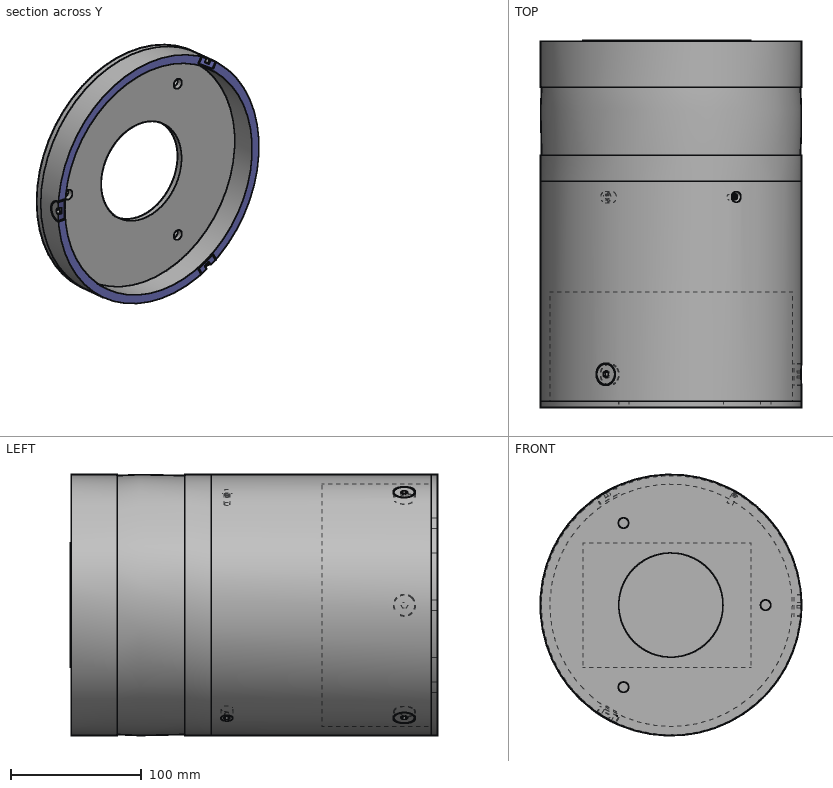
import cadquery as cq
import math

length = 281.0
outer_radius = 100.0

plate_end = 5.0
tube_end = 173.0
ring_end = 193.3
band_end = 245.3

band_end_drop = 0.8

opening_radius = 40.0
cavity_radius = 92.7
cavity_end = 88.5

plate_hole_diameter = 8.0
plate_hole_circle_radius = 72.5
third_turn_angles = [0, 120, 240]

cover_screw_station = 25.5
cover_screw_diameter = 15.7
cover_screw_gap = 0.5
cover_screw_length = 5.5
cover_screw_socket_width = 4.5
cover_screw_socket_depth = 3.5
cover_hole_diameter = cover_screw_diameter + 2 * cover_screw_gap

rear_screw_station = 161.3
rear_screw_length = 8.5

sunk_screw_angle = 60
sunk_screw_diameter = 4.5
sunk_screw_socket_width = 2.2
sunk_screw_socket_depth = 2.2
countersink_diameter = 8.1
countersink_depth = 2.0

flush_screw_angle = sunk_screw_angle + 180
flush_screw_diameter = 9.0
flush_screw_socket_width = 4.0
flush_screw_socket_depth = 4.0

pad_left = -67.5
pad_right = 61.3
pad_height = 95.5
pad_thickness = 0.5


def rim_radius(diameter):
    """Distance from the axis of the lowest points on the rim of a radial hole in the tube."""
    return math.sqrt(outer_radius**2 - (diameter / 2) ** 2)


cover_screw_face_radius = rim_radius(cover_hole_diameter)
flush_screw_face_radius = rim_radius(flush_screw_diameter)
countersink_rim_radius = rim_radius(countersink_diameter)
sunk_screw_face_radius = countersink_rim_radius - countersink_depth


def disc(radius, start, end):
    """Solid cylinder on the Y axis between two stations."""
    return cq.Workplane("XZ", origin=(0, start, 0)).circle(radius).extrude(start - end)


def radial_plane(angle, station, radius):
    """Plane facing outward at a distance from the axis; the angle runs from +X toward +Z."""
    turn = math.radians(angle)
    outward = (math.cos(turn), 0, math.sin(turn))
    origin = (radius * outward[0], station, radius * outward[2])
    return cq.Plane(origin=origin, xDir=(0, 1, 0), normal=outward)


def radial_hole(angle, station, diameter, bottom_radius):
    """Cutter from a flat hole bottom out past the tube's surface."""
    plane = radial_plane(angle, station, bottom_radius)
    return cq.Workplane(plane).circle(diameter / 2).extrude(outer_radius - bottom_radius)


def socket_screw(plane, diameter, screw_length, socket_width, socket_depth):
    """Headless cylinder reaching inward from the plane, with a hexagon socket in its outer face."""
    screw = cq.Workplane(plane).circle(diameter / 2).extrude(-screw_length)
    across_corners = socket_width / math.cos(math.pi / 6)
    socket = cq.Workplane(plane).polygon(6, across_corners).extrude(-socket_depth)
    return screw.cut(socket)


def make_front_plate():
    plate = disc(outer_radius, 0, plate_end).cut(disc(opening_radius, 0, plate_end))
    holes = (
        cq.Workplane("XZ")
        .polarArray(plate_hole_circle_radius, 0, 360, len(third_turn_angles))
        .circle(plate_hole_diameter / 2)
        .extrude(-plate_end)
    )
    return plate.cut(holes)


def make_countersink():
    """Cutter for the cone above the sunk screw, continued straight out past the surface."""
    bottom = radial_plane(sunk_screw_angle, rear_screw_station, sunk_screw_face_radius)
    cone = (
        cq.Workplane(bottom)
        .circle(sunk_screw_diameter / 2)
        .workplane(offset=countersink_depth)
        .circle(countersink_diameter / 2)
        .loft()
    )
    return cone.union(
        radial_hole(sunk_screw_angle, rear_screw_station, countersink_diameter, countersink_rim_radius)
    )


def make_tube():
    tube = disc(outer_radius, plate_end, tube_end).cut(disc(cavity_radius, plate_end, cavity_end))
    cover_hole_bottom = cover_screw_face_radius - cover_screw_length
    for angle in third_turn_angles:
        tube = tube.cut(radial_hole(angle, cover_screw_station, cover_hole_diameter, cover_hole_bottom))
    sunk_hole_bottom = sunk_screw_face_radius - rear_screw_length
    tube = tube.cut(radial_hole(sunk_screw_angle, rear_screw_station, sunk_screw_diameter, sunk_hole_bottom))
    tube = tube.cut(make_countersink())
    flush_hole_bottom = flush_screw_face_radius - rear_screw_length
    return tube.cut(
        radial_hole(flush_screw_angle, rear_screw_station, flush_screw_diameter, flush_hole_bottom)
    )


def make_band():
    end_radius = outer_radius - band_end_drop
    middle = (ring_end + band_end) / 2
    profile = (
        cq.Workplane("XY")
        .moveTo(0, ring_end)
        .lineTo(end_radius, ring_end)
        .threePointArc((outer_radius, middle), (end_radius, band_end))
        .lineTo(0, band_end)
        .close()
    )
    return profile.revolve(360, (0, 0, 0), (0, 1, 0))


def make_rear_cap():
    """End disc with the raised pad that forms the rearmost face."""
    pad_start = length - pad_thickness
    cap = disc(outer_radius, band_end, pad_start)
    pad = (
        cq.Workplane("XZ", origin=(0, pad_start, 0))
        .center((pad_left + pad_right) / 2, 0)
        .rect(pad_right - pad_left, pad_height)
        .extrude(-pad_thickness)
    )
    return cap.union(pad)


def make_cover_screw(angle):
    plane = radial_plane(angle, cover_screw_station, cover_screw_face_radius)
    return socket_screw(
        plane, cover_screw_diameter, cover_screw_length, cover_screw_socket_width, cover_screw_socket_depth
    )


def make_sunk_screw():
    plane = radial_plane(sunk_screw_angle, rear_screw_station, sunk_screw_face_radius)
    return socket_screw(
        plane, sunk_screw_diameter, rear_screw_length, sunk_screw_socket_width, sunk_screw_socket_depth
    )


def make_flush_screw():
    plane = radial_plane(flush_screw_angle, rear_screw_station, flush_screw_face_radius)
    return socket_screw(
        plane, flush_screw_diameter, rear_screw_length, flush_screw_socket_width, flush_screw_socket_depth
    )


front_plate = make_front_plate()
tube = make_tube()
ring = disc(outer_radius, tube_end, ring_end)
band = make_band()
rear_cap = make_rear_cap()
cover_screws = [make_cover_screw(angle) for angle in third_turn_angles]
sunk_screw = make_sunk_screw()
flush_screw = make_flush_screw()

housing_bodies = [front_plate, tube, ring, band, rear_cap]
screws = [*cover_screws, sunk_screw, flush_screw]
result = cq.Compound.makeCompound([body.val() for body in housing_bodies + screws])